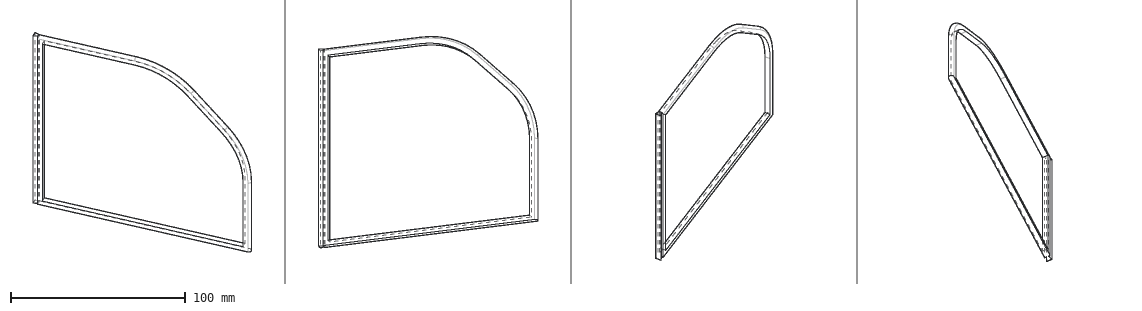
import cadquery as cq
import math

length = 132.8
thickness = 3.5
height = 120.0

tongue_length = 2.7
neck_thickness = 1.5
flat_width = 3.0
crown_height = 1.5
corner_cut = 49.9
bend_radius = 50.0


def plate(left, bottom, right, top, cut, radius):
    """Plate centred on Y = 0 with its upper right corner cut at 45 degrees and blended."""
    outline = [
        (left, bottom),
        (right, bottom),
        (right, top - cut),
        (right - cut, top),
        (left, top),
    ]
    blank = cq.Workplane("XZ").polyline(outline).close().extrude(thickness / 2, both=True)
    margin = 0.1
    cut_ends = cq.selectors.BoxSelector(
        (right - cut - margin, -thickness, top - cut - margin),
        (right + margin, thickness, top + margin),
    )
    return blank.edges("|Y").edges(cut_ends).fillet(radius)


def inset_corner_cut(inset):
    """Corner cut leg that keeps the sloping side parallel at the given inset."""
    return corner_cut - inset * (2 - math.sqrt(2))


def inset_plate(left, bottom, inset):
    """Plate whose top, bends and right side lie at a constant inset from the outer outline."""
    return plate(
        left,
        bottom,
        length - inset,
        height - inset,
        inset_corner_cut(inset),
        bend_radius - inset,
    )


def rounded_edge():
    """Shallow arc section swept along the top, around the bends and down the right side."""
    inset = crown_height
    radius = bend_radius - inset
    right = length - inset
    top = height - inset
    cut = inset_corner_cut(inset)
    tangent_length = radius * math.tan(math.pi / 8)
    diagonal_step = tangent_length * math.sqrt(0.5)
    bend_end = cut + tangent_length
    path = (
        cq.Workplane("XZ")
        .moveTo(tongue_length, top)
        .lineTo(right - bend_end, top)
        .tangentArcPoint((right - cut + diagonal_step, top - diagonal_step), relative=False)
        .lineTo(right - diagonal_step, top - cut + diagonal_step)
        .tangentArcPoint((right, top - bend_end), relative=False)
        .lineTo(right, 0)
    )
    section = (
        cq.Workplane("YZ", origin=(tongue_length, 0, 0))
        .moveTo(-thickness / 2, top)
        .threePointArc((0, height), (thickness / 2, top))
        .close()
    )
    return section.sweep(path)


def frame():
    """Frame with a crowned outer edge and a window that keeps the bar width constant."""
    flat_plate = inset_plate(tongue_length, 0, crown_height)
    window = inset_plate(tongue_length + flat_width, flat_width, crown_height + flat_width)
    return flat_plate.cut(window).union(rounded_edge())


def dovetail_tongue():
    """Full-height tongue on the left side, narrowing toward the frame."""
    profile = [
        (0, -thickness / 2),
        (tongue_length, -neck_thickness / 2),
        (tongue_length, neck_thickness / 2),
        (0, thickness / 2),
    ]
    return cq.Workplane("XY").polyline(profile).close().extrude(height)


result = frame().union(dovetail_tongue())